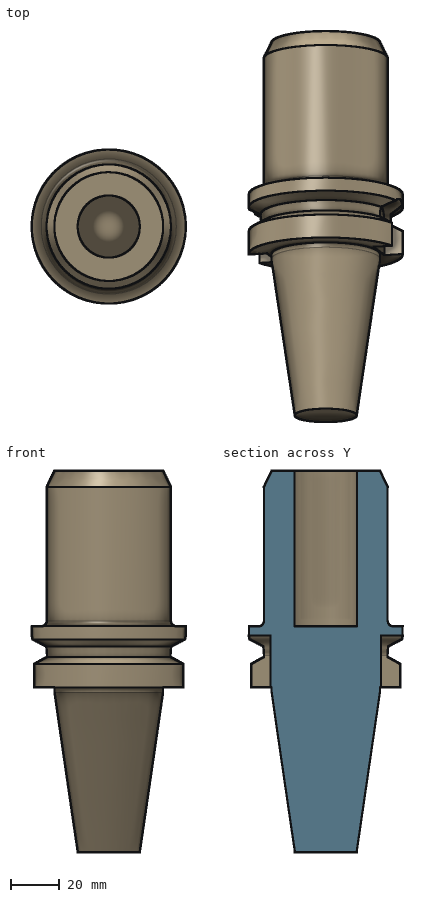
import cadquery as cq
import math


TAPER_LENGTH = 65.4
GAUGE_DIAMETER = 44.45
TAPER_RATE = 7 / 24
SMALL_END_DIAMETER = GAUGE_DIAMETER - TAPER_RATE * TAPER_LENGTH

FLANGE_DIAMETER = 63.0
FLANGE_GAP = 2.0
FLANGE_TOP_ABOVE_GAUGE = 27.0
FLANGE_BOTTOM_Z = TAPER_LENGTH + FLANGE_GAP
FLANGE_TOP_Z = TAPER_LENGTH + FLANGE_TOP_ABOVE_GAUGE

GROOVE_CENTER_Z = TAPER_LENGTH + 16.6
GROOVE_FLOOR_DIAMETER = 53.1
GROOVE_FLOOR_WIDTH = 4.3
GROOVE_WALL_ANGLE = 30.0

SLOT_WIDTH = 16.1
SLOT_HEIGHT = 21.1
SLOT_FLOOR_DISTANCE = 22.6

TOTAL_LENGTH = 155.89
BODY_DIAMETER = 50.8
BODY_FILLET = 2.2
NOSE_DIAMETER = 44.45
NOSE_LENGTH = 6.6

BORE_DIAMETER = 25.4
BORE_DEPTH = TOTAL_LENGTH - FLANGE_TOP_Z


def make_turned_body():
    """Revolve the half profile of shank, flange and body about Z."""
    flange_radius = FLANGE_DIAMETER / 2
    groove_radius = GROOVE_FLOOR_DIAMETER / 2
    body_radius = BODY_DIAMETER / 2
    floor_half = GROOVE_FLOOR_WIDTH / 2
    wall_rise = (flange_radius - groove_radius) * math.tan(math.radians(GROOVE_WALL_ANGLE))
    mouth_half = floor_half + wall_rise

    profile = (
        cq.Workplane("XZ")
        .moveTo(0, 0)
        .lineTo(SMALL_END_DIAMETER / 2, 0)
        .lineTo(GAUGE_DIAMETER / 2, TAPER_LENGTH)
        .lineTo(GAUGE_DIAMETER / 2, FLANGE_BOTTOM_Z)
        .lineTo(flange_radius, FLANGE_BOTTOM_Z)
        .lineTo(flange_radius, GROOVE_CENTER_Z - mouth_half)
        .lineTo(groove_radius, GROOVE_CENTER_Z - floor_half)
        .lineTo(groove_radius, GROOVE_CENTER_Z + floor_half)
        .lineTo(flange_radius, GROOVE_CENTER_Z + mouth_half)
        .lineTo(flange_radius, FLANGE_TOP_Z)
        .lineTo(body_radius + BODY_FILLET, FLANGE_TOP_Z)
        .radiusArc((body_radius, FLANGE_TOP_Z + BODY_FILLET), BODY_FILLET)
        .lineTo(body_radius, TOTAL_LENGTH - NOSE_LENGTH)
        .lineTo(NOSE_DIAMETER / 2, TOTAL_LENGTH)
        .lineTo(0, TOTAL_LENGTH)
        .close()
    )
    return profile.revolve(360, (0, 0, 0), (0, 1, 0))


def make_tool_bore():
    """Blind cylindrical bore entering from the nose."""
    return (
        cq.Workplane("XY")
        .workplane(offset=TOTAL_LENGTH - BORE_DEPTH)
        .circle(BORE_DIAMETER / 2)
        .extrude(BORE_DEPTH)
    )


def make_drive_slot():
    """Round-ended slot cutter on the +X side, open at the flange underside."""
    half_width = SLOT_WIDTH / 2
    top_z = FLANGE_BOTTOM_Z + SLOT_HEIGHT
    return (
        cq.Workplane("YZ")
        .workplane(offset=SLOT_FLOOR_DISTANCE)
        .moveTo(-half_width, FLANGE_BOTTOM_Z)
        .lineTo(half_width, FLANGE_BOTTOM_Z)
        .lineTo(half_width, top_z - half_width)
        .threePointArc((0, top_z), (-half_width, top_z - half_width))
        .close()
        .extrude(FLANGE_DIAMETER / 2)
    )


result = make_turned_body().cut(make_tool_bore())
drive_slot = make_drive_slot()
for angle in (0, 180):
    result = result.cut(drive_slot.rotate((0, 0, 0), (0, 0, 1), angle))